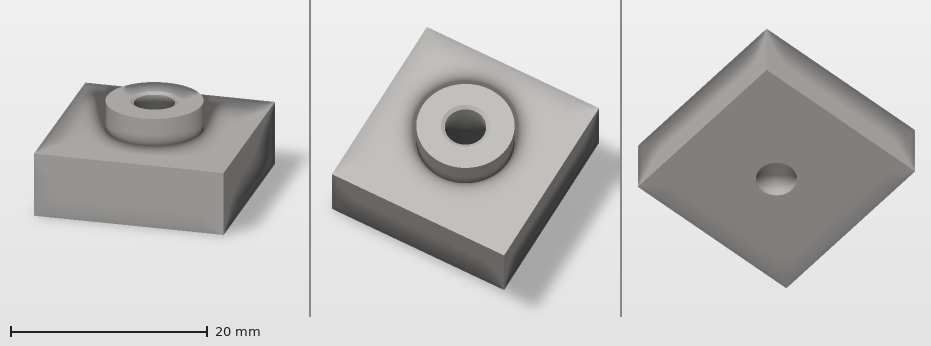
import cadquery as cq

plate_side = 20.0
plate_height = 6.8

boss_diameter = plate_side / 2
boss_height = 3.0

hole_diameter = 4.2
countersink_diameter = 5.0
countersink_angle = 120.0

plate = cq.Workplane("XY").box(plate_side, plate_side, plate_height, centered=(True, True, False))

plate_with_boss = plate.faces(">Z").workplane().circle(boss_diameter / 2).extrude(boss_height)

boss_top = plate_with_boss.faces(">Z").workplane()
result = boss_top.cskHole(hole_diameter, countersink_diameter, countersink_angle)